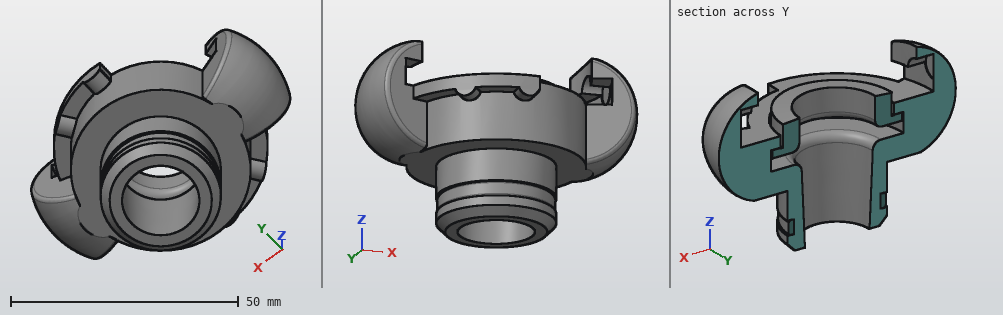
import cadquery as cq
import math

body_bottom_z = 15.0
flange_top_z = 29.0
seal_top_z = 32.0
claw_top_z = 41.0

body_radius = 39.5 / 2
spigot_radius = 26.44 / 2
spigot_chamfer = 2.0
bore_outlet_radius = 17.0 / 2
bore_throat_radius = 18.7 / 2
bore_mouth_radius = 23.0 / 2
bore_round = bore_mouth_radius - bore_throat_radius

chamber_floor_z = 21.0
chamber_radius = 35.0 / 2
chamber_mouth_radius = 30.0 / 2
lip_bottom_z = 26.0

groove_bottom_z = 4.2
groove_height = 3.5
groove_radius = 23.1 / 2
ring_outer_radius = 26.0 / 2
ring_round = 0.5

seal_bore_radius = 20.0 / 2
seal_neck_radius = 29.0 / 2
seal_flange_radius = 34.5 / 2
seal_bottom_z = 24.0
seal_bottom_round = 2.0
seal_face_drop = 0.35

lug_radius = 47.0 / 2
lug_bottom_z = 26.0
bump_radius = 2.5
bump_center_z = 26.75
second_bump_angle = 35.0

barrel_axis_x = 18.0
barrel_axis_z = 27.87
barrel_radius = 13.5
claw_outer_x = barrel_axis_x + barrel_radius
barrel_crown_radius = 21.0
tip_crown_radius = 22.0
side_splay_angle = 17.8
side_offset = 1.37
claw_inner_x = 17.0
claw_half_width_limit = 12.0
claw_edge_round = 1.0
hook_inner_radius = 21.0
slot_radius = 25.5
slot_top_z = 35.0
notch_radius = 3.0

opposite_angles = (0, 180)


def cylinder(radius, bottom_z, top_z):
    """Upright cylinder on the main axis."""
    return cq.Workplane("XY").workplane(offset=bottom_z).circle(radius).extrude(top_z - bottom_z)


def turn(shape, angle):
    return shape.rotate((0, 0, 0), (0, 0, 1), angle)


def radial_rod(radius, center_z, length):
    """Horizontal rod from the main axis outward along -Y."""
    return cq.Workplane("XZ").center(0, center_z).circle(radius).extrude(length)


def make_lug():
    """Quarter-turn rim sector, from its square end on the -Y side round to the claw on the -X side."""
    lug_end_x = bump_radius
    reach = 2 * lug_radius
    sector = (
        cq.Workplane("XY")
        .workplane(offset=lug_bottom_z)
        .polyline([(0, 0), (lug_end_x, 0), (lug_end_x, -reach), (-reach, -reach), (-reach, 0)])
        .close()
        .extrude(flange_top_z - lug_bottom_z)
    )
    end_bump = radial_rod(bump_radius, bump_center_z, reach)
    second_bump = end_bump.rotate((0, 0, 0), (0, 0, 1), -second_bump_angle)
    rim = cylinder(lug_radius, body_bottom_z, flange_top_z)
    return sector.union(end_bump).union(second_bump).intersect(rim)


def make_claw_blank():
    """Solid barrel segment on the +X side, rounded along the two splayed sides."""
    half_width = claw_half_width_limit
    crown_sag = barrel_crown_radius - math.sqrt(barrel_crown_radius**2 - half_width**2)
    barrel = (
        cq.Workplane("XY", origin=(barrel_axis_x, 0, barrel_axis_z))
        .moveTo(0, -half_width)
        .lineTo(barrel_radius - crown_sag, -half_width)
        .threePointArc((barrel_radius, 0), (barrel_radius - crown_sag, half_width))
        .lineTo(0, half_width)
        .close()
        .revolve(360, (0, 0, 0), (0, 1, 0))
    )
    splay = math.tan(math.radians(side_splay_angle))
    inner_half_width = side_offset + claw_inner_x * splay
    outer_half_width = side_offset + claw_outer_x * splay
    wedge = (
        cq.Workplane("XY")
        .workplane(offset=body_bottom_z)
        .moveTo(claw_inner_x, -inner_half_width)
        .lineTo(claw_outer_x, -outer_half_width)
        .lineTo(claw_outer_x, outer_half_width)
        .lineTo(claw_inner_x, inner_half_width)
        .close()
        .extrude(2 * barrel_radius)
    )
    blank = barrel.intersect(wedge)
    return blank.edges(">Y or <Y").fillet(claw_edge_round)


def make_claw():
    """Hooked claw on the +X side, with a crowned tip and a detent notch under the hook."""
    tip_crown = (
        cq.Workplane("YZ")
        .center(0, claw_top_z - tip_crown_radius)
        .circle(tip_crown_radius)
        .extrude(claw_outer_x)
    )
    hook_mouth = cylinder(hook_inner_radius, flange_top_z, claw_top_z)
    slot = cylinder(slot_radius, flange_top_z, slot_top_z)
    notch = turn(radial_rod(notch_radius, slot_top_z, slot_radius), 90)
    return make_claw_blank().intersect(tip_crown).cut(hook_mouth).cut(slot).cut(notch)


def make_cavity():
    """Turned space through the housing: seal mouth, seal chamber, rounded bore mouth and tapered bore."""
    return (
        cq.Workplane("XZ")
        .lineTo(bore_outlet_radius, 0)
        .lineTo(bore_throat_radius, chamber_floor_z - bore_round)
        .radiusArc((bore_mouth_radius, chamber_floor_z), bore_round)
        .lineTo(chamber_radius, chamber_floor_z)
        .lineTo(chamber_radius, lip_bottom_z)
        .lineTo(chamber_mouth_radius, lip_bottom_z)
        .lineTo(chamber_mouth_radius, flange_top_z)
        .lineTo(0, flange_top_z)
        .close()
        .revolve(360, (0, 0, 0), (0, 1, 0))
    )


def make_ring_groove():
    groove_top_z = groove_bottom_z + groove_height
    rim = cylinder(spigot_radius, groove_bottom_z, groove_top_z)
    return rim.cut(cylinder(groove_radius, groove_bottom_z, groove_top_z))


def make_housing():
    spigot = cylinder(spigot_radius, 0, body_bottom_z).faces("<Z").chamfer(spigot_chamfer)
    housing = spigot.union(cylinder(body_radius, body_bottom_z, flange_top_z))
    lug = make_lug()
    claw = make_claw()
    for angle in opposite_angles:
        housing = housing.union(turn(lug, angle)).union(turn(claw, angle))
    return housing.cut(make_cavity()).cut(make_ring_groove())


def make_face_seal():
    """Flanged seal held under the lip, with a slightly coned sealing face."""
    return (
        cq.Workplane("XZ")
        .moveTo(seal_bore_radius, seal_top_z)
        .lineTo(seal_neck_radius, seal_top_z - seal_face_drop)
        .lineTo(seal_neck_radius, lip_bottom_z)
        .lineTo(seal_flange_radius, lip_bottom_z)
        .lineTo(seal_flange_radius, seal_bottom_z)
        .lineTo(seal_bore_radius + seal_bottom_round, seal_bottom_z)
        .radiusArc((seal_bore_radius, seal_bottom_z + seal_bottom_round), seal_bottom_round)
        .close()
        .revolve(360, (0, 0, 0), (0, 1, 0))
    )


def make_spigot_ring():
    """Square-section ring with rounded outer corners that fills the spigot groove."""
    ring = cylinder(ring_outer_radius, groove_bottom_z, groove_bottom_z + groove_height)
    return ring.edges().fillet(ring_round).cut(cylinder(groove_radius, 0, body_bottom_z))


housing = make_housing()
face_seal = make_face_seal()
spigot_ring = make_spigot_ring()
result = cq.Compound.makeCompound([housing.val(), face_seal.val(), spigot_ring.val()])